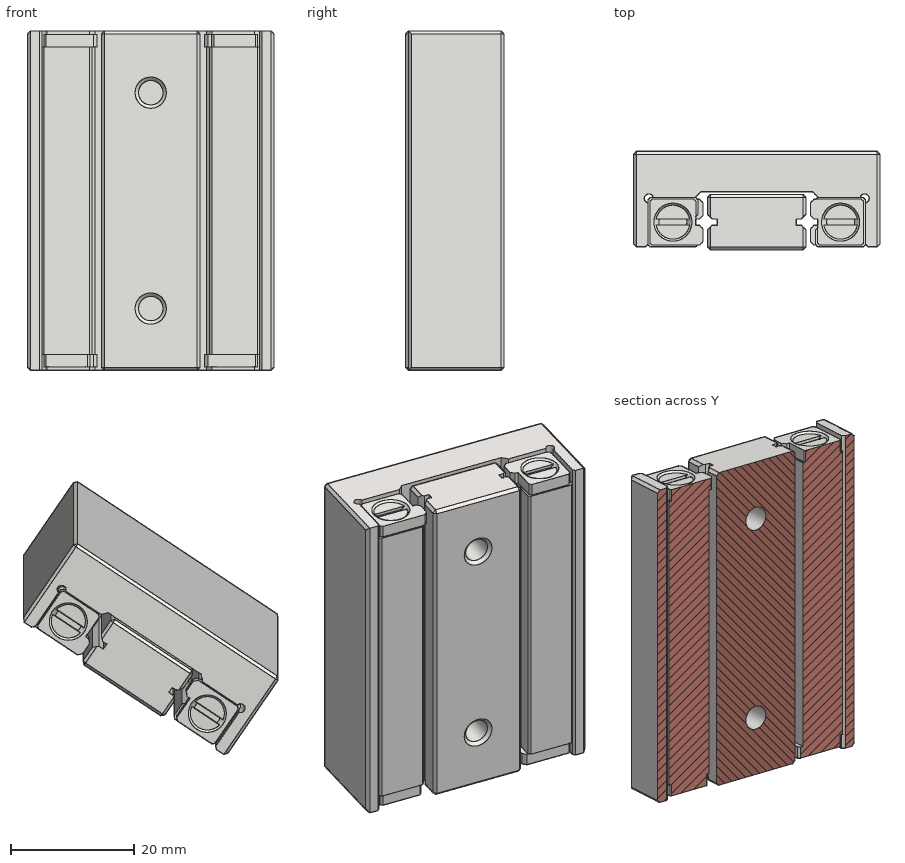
import cadquery as cq


LENGTH = 55.0
CHAMFER = 0.5
SMALL_CHAMFER = 0.4
CONE_ANGLE = 45

BLOCK_WIDTH = 16.0
BLOCK_DEPTH = 9.0
HOLE_SPACING = 35.0
HOLE_DIAMETER = 3.95
HOLE_MOUTH_DIAMETER = 5.05

GROOVE_HALF_HEIGHT = 1.25
SLOT_HALF_HEIGHT = 0.5
SLOT_DEPTH = 1.6

RAIL_OUTER_X = 17.65
RAIL_INNER_X = 9.5
RAIL_DEPTH = 8.05
RAIL_LENGTH = 49.85

CARRIAGE_WIDTH = 40.0
OVERALL_DEPTH = 16.0
CARRIAGE_BACK_Y = OVERALL_DEPTH - BLOCK_DEPTH / 2
SEAT_Y = RAIL_DEPTH / 2
SEAT_EDGE_X = 9.95
CLEARANCE_Y = 4.9
CLEARANCE_EDGE_X = SEAT_EDGE_X - (CLEARANCE_Y - SEAT_Y)
RELIEF_RADIUS = 0.7
RELIEF_INSET = 0.15

CAP_THICKNESS = 2.05
CAP_CENTRE_X = 13.6
CAP_HALF_WIDTH = 3.75
LIP_INNER_X = 8.7
LIP_CHAMFER = 0.6
LIP_EDGE_Y = 0.5

SCREW_MOUTH_RADIUS = 3.1
SCREW_RECESS = 0.35
SCREW_SLOT_WIDTH = 1.0
SCREW_SLOT_DEPTH = 0.8


def centred_prism(sketch, length):
    """Extrude an XY sketch by length, centred on Z = 0."""
    return sketch.extrude(length / 2, both=True)


def roller_groove(face_x, inward):
    """Cutter for a roller groove in the face x = face_x; inward is the X direction into the material."""
    slot_start_x = face_x + inward * (GROOVE_HALF_HEIGHT - SLOT_HALF_HEIGHT)
    slot_end_x = face_x + inward * SLOT_DEPTH
    outline = cq.Workplane("XY").polyline([
        (face_x, -GROOVE_HALF_HEIGHT),
        (slot_start_x, -SLOT_HALF_HEIGHT),
        (slot_end_x, -SLOT_HALF_HEIGHT),
        (slot_end_x, SLOT_HALF_HEIGHT),
        (slot_start_x, SLOT_HALF_HEIGHT),
        (face_x, GROOVE_HALF_HEIGHT),
    ]).close()
    return centred_prism(outline, LENGTH)


def countersink(mouth_radius, depth):
    """Cone with its mouth at Z = 0, narrowing towards -Z."""
    mouth = cq.Workplane("XY").circle(mouth_radius)
    return mouth.extrude(-depth, taper=CONE_ANGLE)


def make_centre_block():
    """Chamfered block with a roller groove on each side and two countersunk through holes."""
    block = cq.Workplane("XY").box(BLOCK_WIDTH, BLOCK_DEPTH, LENGTH).edges().chamfer(CHAMFER)
    for side in (-1, 1):
        block = block.cut(roller_groove(side * BLOCK_WIDTH / 2, -side))
    return (
        block.faces("<Y").workplane(origin=(0, 0, 0))
        .pushPoints([(0, -HOLE_SPACING / 2), (0, HOLE_SPACING / 2)])
        .cskHole(HOLE_DIAMETER, HOLE_MOUTH_DIAMETER, 2 * CONE_ANGLE)
    )


def make_housing():
    """Channel-shaped carriage body without its rails."""
    depth = CARRIAGE_BACK_Y + SEAT_Y
    housing = (
        cq.Workplane("XY").box(CARRIAGE_WIDTH, depth, LENGTH)
        .edges("|Z or (>Y and |X) or (<X and |Y) or (>X and |Y)").chamfer(CHAMFER)
        .translate((0, CARRIAGE_BACK_Y - depth / 2, 0))
    )
    channel = cq.Workplane("XY").polyline([
        (-RAIL_OUTER_X - SMALL_CHAMFER, -SEAT_Y),
        (-RAIL_OUTER_X, -SEAT_Y + SMALL_CHAMFER),
        (-RAIL_OUTER_X, SEAT_Y),
        (-SEAT_EDGE_X, SEAT_Y),
        (-CLEARANCE_EDGE_X, CLEARANCE_Y),
        (CLEARANCE_EDGE_X, CLEARANCE_Y),
        (SEAT_EDGE_X, SEAT_Y),
        (RAIL_OUTER_X, SEAT_Y),
        (RAIL_OUTER_X, -SEAT_Y + SMALL_CHAMFER),
        (RAIL_OUTER_X + SMALL_CHAMFER, -SEAT_Y),
    ]).close()
    relief_x = RAIL_OUTER_X - RELIEF_INSET
    relief_y = SEAT_Y - RELIEF_INSET
    reliefs = cq.Workplane("XY").pushPoints([(-relief_x, relief_y), (relief_x, relief_y)]).circle(RELIEF_RADIUS)
    return housing.cut(centred_prism(channel, LENGTH)).cut(centred_prism(reliefs, LENGTH))


def make_end_cap():
    """Cap for the +Z end of the left rail, with its screw and a roller-retaining lip."""
    cap_bottom_z = RAIL_LENGTH / 2
    cap = (
        cq.Workplane("XY").box(2 * CAP_HALF_WIDTH, 2 * CAP_HALF_WIDTH, CAP_THICKNESS)
        .edges("|Z").chamfer(SMALL_CHAMFER)
        .translate((-CAP_CENTRE_X, 0, cap_bottom_z + CAP_THICKNESS / 2))
    )
    lip = (
        cq.Workplane("XY", origin=(0, 0, cap_bottom_z))
        .moveTo(-CAP_CENTRE_X, -CAP_HALF_WIDTH)
        .lineTo(-LIP_INNER_X - LIP_CHAMFER, -CAP_HALF_WIDTH)
        .lineTo(-LIP_INNER_X, -CAP_HALF_WIDTH + LIP_CHAMFER)
        .lineTo(-LIP_INNER_X, -LIP_EDGE_Y - LIP_CHAMFER)
        .lineTo(-LIP_INNER_X - LIP_CHAMFER, -LIP_EDGE_Y)
        .lineTo(-CAP_CENTRE_X, -LIP_EDGE_Y)
        .close().extrude(CAP_THICKNESS)
    )
    screw_slot = countersink(SCREW_MOUTH_RADIUS, SCREW_SLOT_DEPTH).intersect(
        cq.Workplane("XY").box(2 * SCREW_MOUTH_RADIUS, SCREW_SLOT_WIDTH, 2 * SCREW_SLOT_DEPTH)
    )
    screw_recess = countersink(SCREW_MOUTH_RADIUS, SCREW_RECESS).union(screw_slot)
    return cap.union(lip).cut(screw_recess.translate((-CAP_CENTRE_X, 0, cap_bottom_z + CAP_THICKNESS)))


def make_left_rail():
    """Left guide rail with an end cap at both ends; the lower cap is the upper one turned about X."""
    rail = (
        cq.Workplane("XY").box(RAIL_OUTER_X - RAIL_INNER_X, RAIL_DEPTH, RAIL_LENGTH)
        .edges("|Z").chamfer(SMALL_CHAMFER)
        .translate((-(RAIL_OUTER_X + RAIL_INNER_X) / 2, 0, 0))
        .cut(roller_groove(-RAIL_INNER_X, -1))
    )
    upper_cap = make_end_cap()
    lower_cap = upper_cap.rotate((0, 0, 0), (1, 0, 0), 180)
    return rail.union(upper_cap).union(lower_cap)


def make_carriage():
    """Housing with both rails; the right rail is the left one turned about Y."""
    left_rail = make_left_rail()
    right_rail = left_rail.rotate((0, 0, 0), (0, 1, 0), 180)
    return make_housing().union(left_rail).union(right_rail)


carriage = make_carriage()
centre_block = make_centre_block()

result = cq.Compound.makeCompound([carriage.val(), centre_block.val()])